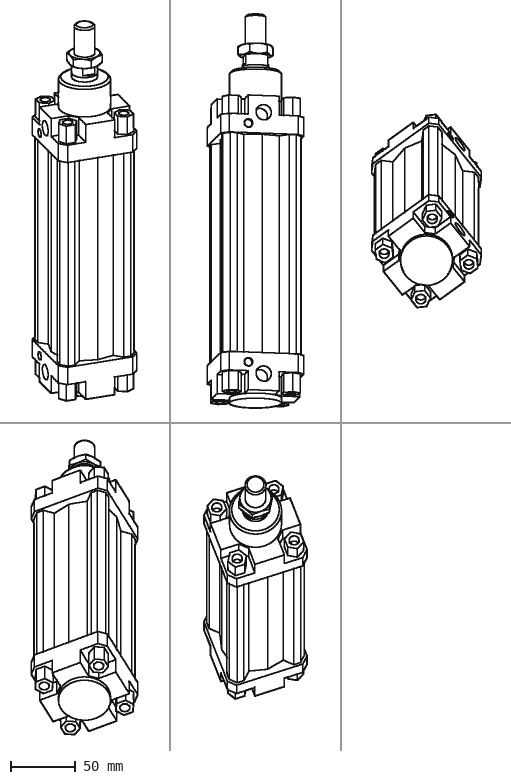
import cadquery as cq
import math


total_height = 304.0
boss_height = 4.0
head_height = 29.5
notch_depth = 15.0
upper_head_top = 235.0
collar_height = 25.0
neck_height = 3.5

head_width = 65.0
head_chamfer = 5.5
pad_width = 24.0
notch_corner_chamfer = 5.8
collar_diameter = 40.0
collar_chamfer = 1.8

screw_spacing = 46.5
screw_flats = 13.0
screw_bore_diameter = 7.5
screw_bore_depth = 9.0
drill_tip_angle = 118.0

port_diameter = 12.0
port_depth = 15.2
port_from_face = 13.0
cushion_diameter = 6.5
cushion_depth = 2.5
cushion_offset = 12.0
cushion_from_face = 22.0

barrel_half_width = 30.7
post_outer = 25.8
post_inner = 20.5
valley_offset = 14.0
ridge_distance = 27.7

rod_diameter = 20.0
rod_flats = 17.3
rod_flat_bottom = 265.0
rod_shoulder = 272.0
thread_diameter = 16.0
thread_chamfer = 1.5
nut_flats = 24.0
nut_thickness = 8.0
nut_chamfer_angle = 30.0

screw_offset = screw_spacing / 2
valley_distance = barrel_half_width - (post_inner - valley_offset)
barrel_bottom = boss_height + head_height
barrel_top = upper_head_top - head_height
collar_top = upper_head_top + collar_height
neck_top = collar_top + neck_height


def across_corners(flats):
    """Corner-to-corner width of a hexagon from its width across flats."""
    return flats / math.cos(math.radians(30))


def corner_notch():
    """Notch beside the pads in the +X +Y corner, its inner corner cut off."""
    inner = pad_width / 2
    cut = inner + notch_corner_chamfer
    outer = head_width
    return (
        cq.Workplane("XY")
        .polyline([(cut, inner), (outer, inner), (outer, outer), (inner, outer), (inner, cut)])
        .close()
        .extrude(notch_depth)
    )


def corner_screw():
    """Hexagonal screw head filling the notch height, standing on Z = 0."""
    return (
        cq.Workplane("XY")
        .center(screw_offset, screw_offset)
        .polygon(6, across_corners(screw_flats))
        .extrude(notch_depth)
    )


def screw_bore():
    """Blind drilled bore whose mouth is at the top of the screw head."""
    radius = screw_bore_diameter / 2
    tip = radius / math.tan(math.radians(drill_tip_angle / 2))
    floor = notch_depth - screw_bore_depth
    return (
        cq.Workplane("XZ")
        .polyline([(0, notch_depth), (radius, notch_depth), (radius, floor), (0, floor - tip)])
        .close()
        .revolve(360, (0, 0), (0, 1))
        .translate((screw_offset, screw_offset, 0))
    )


def place_in_corner(feature, corner):
    """Lift a feature to the notch floor and turn it into one of the four corners."""
    return feature.translate((0, 0, head_height - notch_depth)).rotate((0, 0, 0), (0, 0, 1), 90 * corner)


def front_hole(x, z, diameter, depth):
    """Blind round hole running into the -Y face of a head."""
    return (
        cq.Workplane("XZ", origin=(x, -head_width / 2, z))
        .circle(diameter / 2)
        .extrude(-depth)
    )


def head():
    """Head with its outer face, pads and screws at the top, standing on Z = 0."""
    block = (
        cq.Workplane("XY")
        .rect(head_width, head_width)
        .extrude(head_height)
        .edges("|Z")
        .chamfer(head_chamfer)
    )
    for corner in range(4):
        block = block.cut(place_in_corner(corner_notch(), corner))
        block = block.union(place_in_corner(corner_screw(), corner))
        block = block.cut(place_in_corner(screw_bore(), corner))
    port_height = head_height - port_from_face
    cushion_height = head_height - cushion_from_face
    block = block.cut(front_hole(0, port_height, port_diameter, port_depth))
    return block.cut(front_hole(-cushion_offset, cushion_height, cushion_diameter, cushion_depth))


def barrel():
    """Extruded tube profile, its -Y side turned in quarter turns to close the outline."""
    side = [
        (post_outer, -barrel_half_width),
        (post_inner, -barrel_half_width),
        (valley_offset, -valley_distance),
        (0, -ridge_distance),
        (-valley_offset, -valley_distance),
        (-post_inner, -barrel_half_width),
        (-post_outer, -barrel_half_width),
    ]
    outline = []
    for _ in range(4):
        outline.extend(side)
        side = [(y, -x) for x, y in side]
    return (
        cq.Workplane("XY", origin=(0, 0, barrel_bottom))
        .polyline(outline)
        .close()
        .extrude(barrel_top - barrel_bottom)
    )


def collar():
    """Chamfered rod guide on the upper head, ending in a neck as wide as the rod."""
    guide = (
        cq.Workplane("XY", origin=(0, 0, upper_head_top))
        .circle(collar_diameter / 2)
        .extrude(collar_height)
        .faces(">Z")
        .chamfer(collar_chamfer)
    )
    neck = cq.Workplane("XY", origin=(0, 0, collar_top)).circle(rod_diameter / 2).extrude(neck_height)
    return guide.union(neck)


def make_housing():
    """Barrel between two mirrored heads, with the lower boss and the collar."""
    lower_head = head().mirror("XY").translate((0, 0, barrel_bottom))
    upper_head = head().translate((0, 0, barrel_top))
    boss = cq.Workplane("XY").circle(collar_diameter / 2).extrude(boss_height)
    return barrel().union(lower_head).union(upper_head).union(boss).union(collar())


def make_rod():
    """Rod end on the neck: a shank with two wrench flats and a thinner threaded end."""
    shank = (
        cq.Workplane("XY", origin=(0, 0, neck_top))
        .circle(rod_diameter / 2)
        .extrude(rod_shoulder - neck_top)
    )
    flat_cuts = (
        cq.Workplane("XY", origin=(0, 0, rod_flat_bottom))
        .pushPoints([(-rod_diameter, 0), (rod_diameter, 0)])
        .rect(2 * rod_diameter - rod_flats, rod_diameter)
        .extrude(rod_shoulder - rod_flat_bottom)
    )
    thread = (
        cq.Workplane("XY", origin=(0, 0, rod_shoulder))
        .circle(thread_diameter / 2)
        .extrude(total_height - rod_shoulder)
        .faces(">Z")
        .chamfer(thread_chamfer)
    )
    return shank.cut(flat_cuts).union(thread)


def make_nut():
    """Hexagonal nut with bevelled corners, seated on the rod shoulder."""
    corner_radius = across_corners(nut_flats) / 2
    bevel = (corner_radius - nut_flats / 2) * math.tan(math.radians(nut_chamfer_angle))
    envelope = (
        cq.Workplane("XY")
        .circle(corner_radius)
        .extrude(nut_thickness)
        .faces("<Z or >Z")
        .chamfer(bevel, corner_radius - nut_flats / 2)
    )
    return (
        cq.Workplane("XY")
        .polygon(6, across_corners(nut_flats))
        .extrude(nut_thickness)
        .intersect(envelope)
        .cut(cq.Workplane("XY").circle(thread_diameter / 2).extrude(nut_thickness))
        .translate((0, 0, rod_shoulder))
    )


housing = make_housing()
rod = make_rod()
nut = make_nut()

result = cq.Compound.makeCompound([housing.val(), rod.val(), nut.val()])